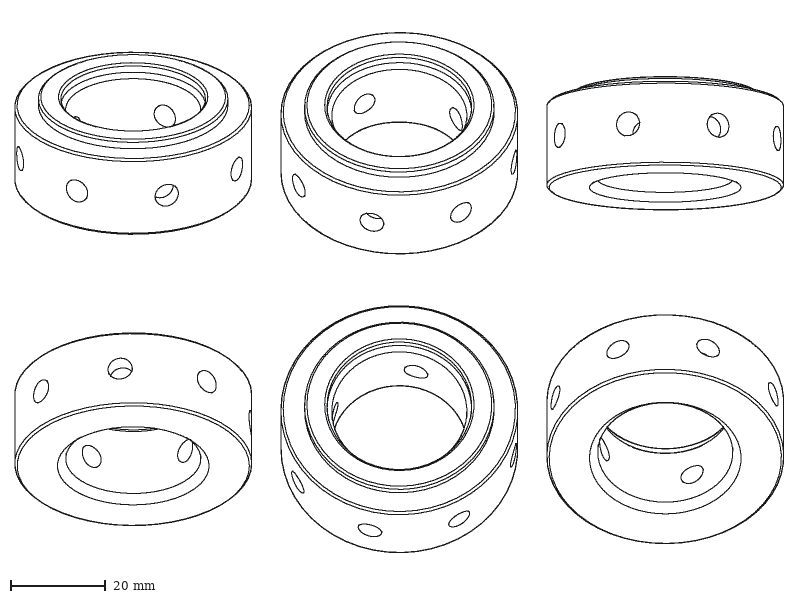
import cadquery as cq

body_diameter = 50.0
body_height = 18.0
collar_diameter = 40.0
collar_height = 2.0
edge_chamfer = 0.5

bore_diameter = 28.5
bore_bottom_chamfer = 1.75
counterbore_diameter = 30.5
counterbore_depth = 2.0

hole_diameter = 5.1
hole_height = body_height / 2
blind_hole_depth = 4.0
drill_tip_length = 1.5
hole_spacing = 90
blind_hole_offset = hole_spacing / 2

body_radius = body_diameter / 2
collar_radius = collar_diameter / 2
bore_radius = bore_diameter / 2
counterbore_radius = counterbore_diameter / 2
hole_radius = hole_diameter / 2
total_height = body_height + collar_height
seat_top = total_height - counterbore_depth
seat_bottom = seat_top - (counterbore_radius - bore_radius)


def stepped_ring():
    """Revolve the ring's half section, given as radius and height, about Z."""
    section = [
        (body_radius - edge_chamfer, 0),
        (body_radius, edge_chamfer),
        (body_radius, body_height - edge_chamfer),
        (body_radius - edge_chamfer, body_height),
        (collar_radius, body_height),
        (collar_radius, total_height - edge_chamfer),
        (collar_radius - edge_chamfer, total_height),
        (counterbore_radius + edge_chamfer, total_height),
        (counterbore_radius, total_height - edge_chamfer),
        (counterbore_radius, seat_top),
        (bore_radius, seat_bottom),
        (bore_radius, bore_bottom_chamfer),
        (bore_radius + bore_bottom_chamfer, 0),
    ]
    return cq.Workplane("XZ").polyline(section).close().revolve(360, (0, 0, 0), (0, 1, 0))


def turn_about_axis(tool, angle):
    return tool.rotate((0, 0, 0), (0, 0, 1), angle)


def through_hole(angle):
    hole = cq.Workplane("YZ").center(0, hole_height).circle(hole_radius).extrude(body_radius)
    return turn_about_axis(hole, angle)


def blind_hole(angle):
    """Round hole from the outer wall inwards, ending in a conical drill tip."""
    floor_radius = body_radius - blind_hole_depth
    drill = (
        cq.Workplane("XZ")
        .moveTo(floor_radius - drill_tip_length, hole_height)
        .lineTo(floor_radius, hole_height + hole_radius)
        .lineTo(body_radius, hole_height + hole_radius)
        .lineTo(body_radius, hole_height)
        .close()
        .revolve(360, (0, hole_height, 0), (1, hole_height, 0))
    )
    return turn_about_axis(drill, angle)


result = stepped_ring()
for angle in range(0, 360, hole_spacing):
    result = result.cut(through_hole(angle))
    result = result.cut(blind_hole(angle + blind_hole_offset))